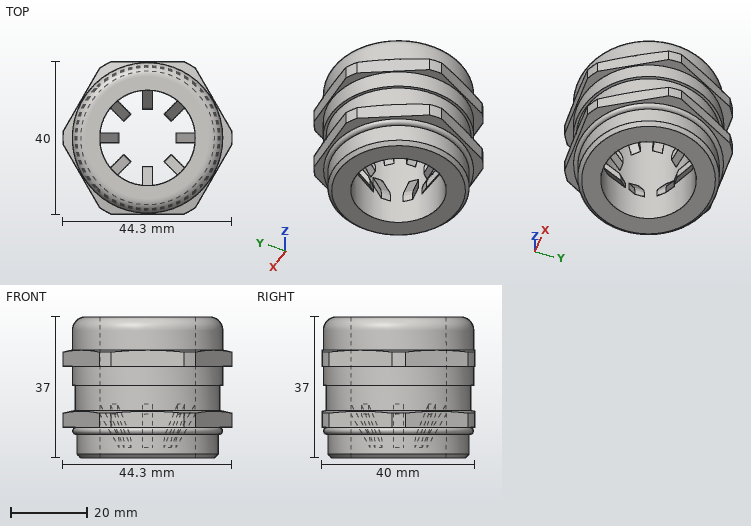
import cadquery as cq
import math

total_height = 37.0
thread_chamfer = 1.0
seal_bottom = 6.2
lower_hex_bottom = 8.0
cap_bottom = 19.0
upper_hex_bottom = 24.0

bore_radius = 12.5
thread_radius = 18.5
seal_radius = 19.62
neck_radius = 18.95
cap_radius = 19.7
cap_rounding = 3.55

hex_sides = 6
across_flats = 40.0
corner_radius = 22.15
hex_side_height = 3.7
hex_cone_angle = 13.0

claw_count = 8
claw_width = 2.65
claw_tip_radius = 7.45
claw_bend_radius = 7.9
claw_root_top = 14.18
claw_slope = 60.0
claw_tip_slope = 75.0
claw_thickness = 1.75
claw_embed = 0.9


def cylinder(radius, bottom, top):
    return cq.Workplane("XY").workplane(offset=bottom).circle(radius).extrude(top - bottom)


def thread():
    return cylinder(thread_radius, 0, lower_hex_bottom).faces("<Z").chamfer(thread_chamfer)


def seal_ring():
    """O-ring with a half-round outer edge under the lower hexagon."""
    bead_radius = (lower_hex_bottom - seal_bottom) / 2
    bead_start = seal_radius - bead_radius
    return (
        cq.Workplane("XZ")
        .moveTo(0, seal_bottom)
        .lineTo(bead_start, seal_bottom)
        .threePointArc((seal_radius, seal_bottom + bead_radius), (bead_start, lower_hex_bottom))
        .lineTo(0, lower_hex_bottom)
        .close()
        .revolve(360, (0, 0), (0, 1))
    )


def hex_collar(bottom):
    """Hexagon with turned corners and a conical top face."""
    corner_top = bottom + hex_side_height
    apex = corner_top + corner_radius * math.tan(math.radians(hex_cone_angle))
    turned_blank = (
        cq.Workplane("XZ")
        .polyline([(0, bottom), (corner_radius, bottom), (corner_radius, corner_top), (0, apex)])
        .close()
        .revolve(360, (0, 0), (0, 1))
    )
    hexagon = (
        cq.Workplane("XY")
        .workplane(offset=bottom)
        .polygon(hex_sides, across_flats / math.cos(math.pi / hex_sides))
        .extrude(apex - bottom)
    )
    return hexagon.intersect(turned_blank)


def cap():
    return cylinder(cap_radius, cap_bottom, total_height).faces(">Z").edges().fillet(cap_rounding)


def claw():
    """Claw sloping down into the bore along +X, with a steeper bevel at its tip."""
    slope = math.tan(math.radians(claw_slope))
    bend_z = claw_root_top - (bore_radius - claw_bend_radius) * slope
    tip_z = bend_z - (claw_bend_radius - claw_tip_radius) * math.tan(math.radians(claw_tip_slope))
    root_radius = bore_radius + claw_embed
    root_bottom = tip_z - claw_thickness + (root_radius - claw_tip_radius) * slope
    return (
        cq.Workplane("XZ", origin=(0, claw_width / 2, 0))
        .moveTo(root_radius, claw_root_top)
        .lineTo(bore_radius, claw_root_top)
        .lineTo(claw_bend_radius, bend_z)
        .lineTo(claw_tip_radius, tip_z)
        .lineTo(claw_tip_radius, tip_z - claw_thickness)
        .lineTo(root_radius, root_bottom)
        .close()
        .extrude(claw_width)
    )


neck = cylinder(neck_radius, lower_hex_bottom, cap_bottom)
body = thread().union(seal_ring()).union(neck).union(cap())
for collar_bottom in (lower_hex_bottom, upper_hex_bottom):
    body = body.union(hex_collar(collar_bottom))
body = body.cut(cylinder(bore_radius, 0, total_height))

for index in range(claw_count):
    body = body.union(claw().rotate((0, 0, 0), (0, 0, 1), index * 360 / claw_count))

result = body